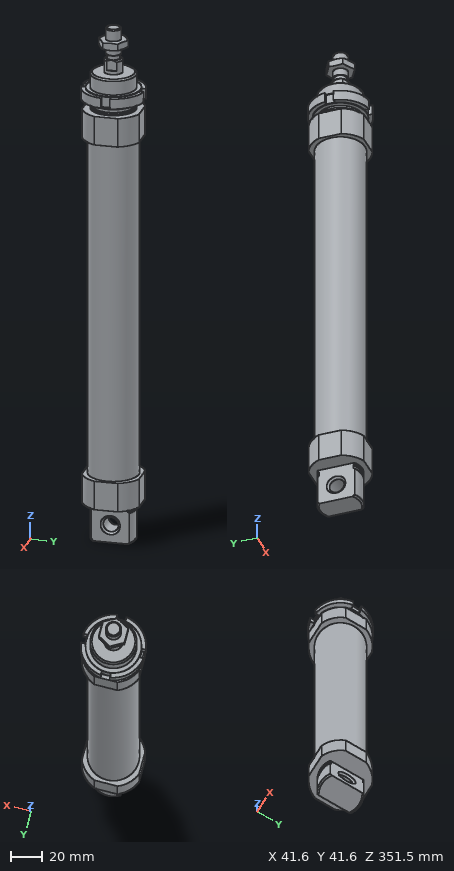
import cadquery as cq
import math

total_height = 351.5
tube_diameter = 33.6
cap_across_flats = 38.0
cap_corner_diameter = 41.0
cap_length = 19.5
rear_cap_bottom = 26.0
front_cap_top = 296.3
rear_cap_top = rear_cap_bottom + cap_length
front_cap_bottom = front_cap_top - cap_length

neck_diameter = 30.0
neck_core_diameter = 28.38
neck_end_diameter = 27.7
neck_groove_depth = (neck_diameter - neck_core_diameter) / 2
neck_chamfer = (neck_diameter - neck_end_diameter) / 2
neck_collar_length = 1.0
neck_groove_floor_length = 2.0
neck_top = 321.0
neck_length = neck_top - front_cap_top
lug_thickness = 16.0
lug_hole_diameter = 10.0
lug_hole_countersink_diameter = 13.0
lug_hole_height = 12.0

rod_diameter = 12.0
rod_thread_diameter = 10.0
rod_thread_end_diameter = 8.4
rod_relief_diameter = 8.65
rod_thread_chamfer = (rod_thread_diameter - rod_thread_end_diameter) / 2
rod_relief_length = 3.0
rod_shoulder_height = 330.5
rod_shoulder_chamfer = (rod_diameter - rod_thread_diameter) / 2
rod_bottom = 50.0
rod_flat_bottom = 323.5
rod_across_flats = 10.0

rod_nut_across_flats = 17.0
rod_nut_corner_diameter = rod_nut_across_flats / math.cos(math.pi / 6)
rod_nut_bottom = 338.5
rod_nut_height = 5.0
rod_nut_chamfer_angle = 15.0

ring_nut_diameter = 42.0
ring_nut_face_diameter = 36.0
ring_nut_face_height = 0.5
ring_nut_bottom = 302.5
ring_nut_height = 8.0
ring_nut_top = ring_nut_bottom + ring_nut_height
ring_nut_slot_count = 4
ring_nut_slot_width = 6.0


def cylinder(diameter, bottom, top):
    return cq.Workplane("XY").workplane(offset=bottom).circle(diameter / 2).extrude(top - bottom)


def make_cap(bottom):
    """Round cap with four flats."""
    round_cap = cylinder(cap_corner_diameter, bottom, bottom + cap_length)
    square = cq.Workplane("XY").workplane(offset=bottom).rect(cap_across_flats, cap_across_flats)
    return round_cap.intersect(square.extrude(cap_length))


def make_stub(length):
    """Round stub standing on z = 0 with a bevelled groove near its foot and a chamfered top."""
    outer_radius = neck_diameter / 2
    core_radius = neck_core_diameter / 2
    groove_floor_start = neck_collar_length + neck_groove_depth
    groove_floor_end = groove_floor_start + neck_groove_floor_length
    return (
        cq.Workplane("XZ")
        .lineTo(outer_radius, 0)
        .lineTo(outer_radius, neck_collar_length)
        .lineTo(core_radius, groove_floor_start)
        .lineTo(core_radius, groove_floor_end)
        .lineTo(outer_radius, groove_floor_end + neck_groove_depth)
        .lineTo(outer_radius, length - neck_chamfer)
        .lineTo(neck_end_diameter / 2, length)
        .lineTo(0, length)
        .close()
        .revolve(360, (0, 0, 0), (0, 1, 0))
    )


def make_lug():
    """Downward stub cut to two flats, with a cross hole countersunk on both sides."""
    stub = make_stub(rear_cap_bottom).mirror("XY").translate((0, 0, rear_cap_bottom))
    flats = cq.Workplane("XY").rect(lug_thickness, neck_diameter).extrude(rear_cap_bottom)
    hole = (
        cq.Workplane("YZ")
        .workplane(offset=-lug_thickness / 2)
        .center(0, lug_hole_height)
        .circle(lug_hole_diameter / 2)
        .extrude(lug_thickness)
    )
    countersink = (lug_hole_countersink_diameter - lug_hole_diameter) / 2
    return stub.intersect(flats).cut(hole).faces("<X or >X").edges("%CIRCLE").chamfer(countersink)


def make_housing():
    tube = cylinder(tube_diameter, rear_cap_top, front_cap_bottom)
    neck = make_stub(neck_length).translate((0, 0, front_cap_top))
    housing = tube.union(make_cap(rear_cap_bottom)).union(make_cap(front_cap_bottom))
    housing = housing.union(neck).union(make_lug())
    return housing.cut(cylinder(rod_diameter, rod_bottom, neck_top))


def make_rod():
    """Rod with two wrench flats, a thread relief and a chamfered thread end."""
    shank = cylinder(rod_diameter, rod_bottom, rod_shoulder_height)
    shank = shank.faces(">Z").chamfer(rod_shoulder_chamfer)
    for side in (-1, 1):
        flat_cutter = (
            cq.Workplane("XY")
            .workplane(offset=rod_flat_bottom)
            .center(side * (rod_across_flats + rod_diameter) / 2, 0)
            .rect(rod_diameter, 2 * rod_diameter)
            .extrude(rod_shoulder_height - rod_flat_bottom)
        )
        shank = shank.cut(flat_cutter)
    relief_top = rod_shoulder_height + rod_relief_length
    relief = cylinder(rod_relief_diameter, rod_shoulder_height, relief_top)
    thread = cylinder(rod_thread_diameter, relief_top, total_height)
    thread = thread.faces(">Z").chamfer(rod_thread_chamfer)
    return shank.union(relief).union(thread)


def make_rod_nut():
    """Hexagon nut with flats facing -X and +X, its corners bevelled on both ends."""
    hexagon = (
        cq.Workplane("XY", origin=(0, 0, rod_nut_bottom))
        .transformed(rotate=(0, 0, 30))
        .polygon(6, rod_nut_corner_diameter)
        .extrude(rod_nut_height)
    )
    bevel_width = (rod_nut_corner_diameter - rod_nut_across_flats) / 2
    bevel_height = bevel_width * math.tan(math.radians(rod_nut_chamfer_angle))
    nut_top = rod_nut_bottom + rod_nut_height
    blank = cylinder(rod_nut_corner_diameter, rod_nut_bottom, nut_top)
    blank = blank.faces("|Z").chamfer(bevel_height, bevel_width)
    bore = cylinder(rod_thread_diameter, rod_nut_bottom, nut_top)
    return hexagon.intersect(blank).cut(bore)


def make_ring_nut():
    """Ring nut with raised end faces and evenly spaced spanner slots."""
    rim_bottom = ring_nut_bottom + ring_nut_face_height
    rim_top = ring_nut_top - ring_nut_face_height
    rim = cylinder(ring_nut_diameter, rim_bottom, rim_top)
    slot_length = ring_nut_diameter / 2
    slot = (
        cq.Workplane("XY")
        .workplane(offset=rim_bottom)
        .center((ring_nut_face_diameter + slot_length) / 2, 0)
        .rect(slot_length, ring_nut_slot_width)
        .extrude(rim_top - rim_bottom)
    )
    for index in range(ring_nut_slot_count):
        rim = rim.cut(slot.rotate((0, 0, 0), (0, 0, 1), index * 360 / ring_nut_slot_count))
    faces = cylinder(ring_nut_face_diameter, ring_nut_bottom, ring_nut_top)
    bore = cylinder(neck_diameter, ring_nut_bottom, ring_nut_top)
    return rim.union(faces).cut(bore)


housing = make_housing()
rod = make_rod()
rod_nut = make_rod_nut()
ring_nut = make_ring_nut()

result = cq.Compound.makeCompound([housing.val(), rod.val(), rod_nut.val(), ring_nut.val()])